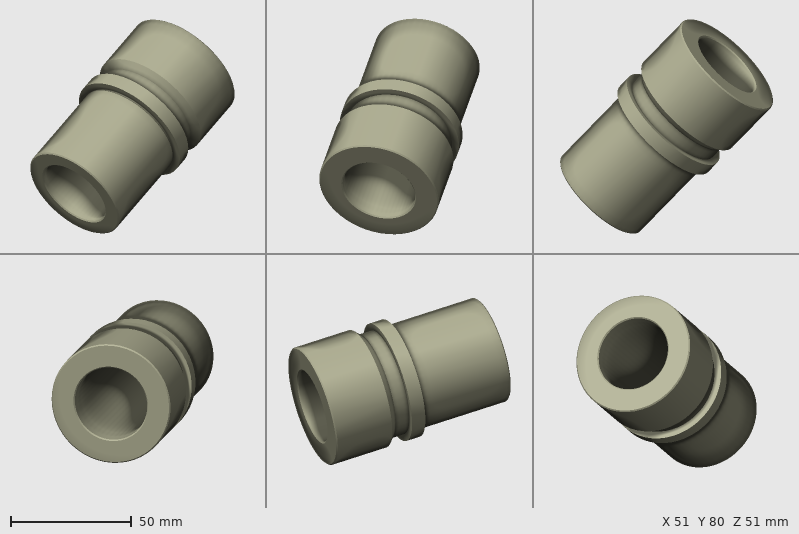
import cadquery as cq
import math

length = 80.0
head_diameter = 51.0
body_diameter = 45.0
bore_diameter = 31.0
head_length = 25.0
neck_length = 6.0
collar_width = 6.0
relief_width = 1.0
relief_depth = 0.5
relief_corner_radius = 0.3
edge_chamfer = 0.5

head_radius = head_diameter / 2
body_radius = body_diameter / 2
bore_radius = bore_diameter / 2
relief_radius = body_radius - relief_depth

rear_y = length / 2
front_y = rear_y - length
head_y = rear_y - head_length
cone_y = head_y - (head_radius - body_radius)
collar_rear_y = cone_y - neck_length
collar_front_y = collar_rear_y - collar_width
relief_floor_y = collar_front_y - relief_width + relief_depth
relief_front_y = collar_front_y - relief_width
corner_centre_y = collar_front_y - relief_corner_radius
corner_centre_radius = relief_radius + relief_corner_radius
corner_mid_offset = relief_corner_radius * math.sqrt(0.5)


def turned_body():
    """Half section of radius against Y, revolved about the Y axis."""
    half_section = (
        cq.Workplane("XY")
        .moveTo(bore_radius + edge_chamfer, rear_y)
        .lineTo(head_radius - edge_chamfer, rear_y)
        .lineTo(head_radius, rear_y - edge_chamfer)
        .lineTo(head_radius, head_y)
        .lineTo(body_radius, cone_y)
        .lineTo(body_radius, collar_rear_y)
        .lineTo(head_radius, collar_rear_y)
        .lineTo(head_radius, collar_front_y)
        .lineTo(corner_centre_radius, collar_front_y)
        .threePointArc(
            (corner_centre_radius - corner_mid_offset, corner_centre_y + corner_mid_offset),
            (relief_radius, corner_centre_y),
        )
        .lineTo(relief_radius, relief_floor_y)
        .lineTo(body_radius, relief_front_y)
        .lineTo(body_radius, front_y + edge_chamfer)
        .lineTo(body_radius - edge_chamfer, front_y)
        .lineTo(bore_radius + edge_chamfer, front_y)
        .lineTo(bore_radius, front_y + edge_chamfer)
        .lineTo(bore_radius, rear_y - edge_chamfer)
        .close()
    )
    return half_section.revolve(360, (0, 0, 0), (0, 1, 0))


result = turned_body()